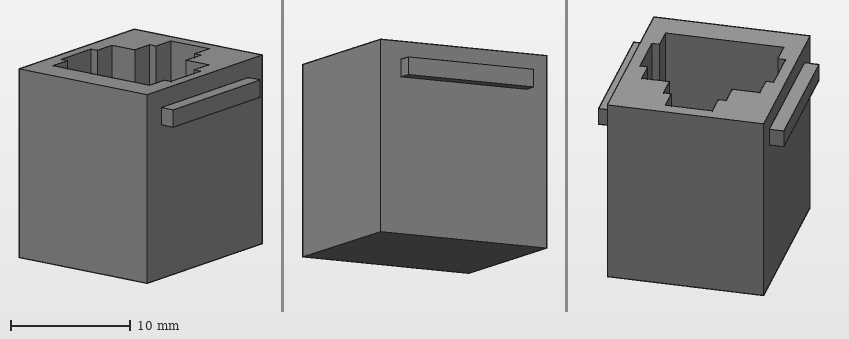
import cadquery as cq

body_width = 13.5
body_depth = 15.88
body_height = 16.38

overall_width = 16.0
rail_length = 12.0
rail_thickness = 1.5
rail_top_gap = 1.54

front_wall = 2.5
floor_thickness = front_wall
step_depth = 2.04
main_width = 10.2
shoulder_width = 11.54
latch_width = 5.42
latch_tip_width = 4.06


def make_body():
    return cq.Workplane("XY").box(body_width, body_depth, body_height, centered=(True, True, False))


def make_rails():
    """One bar through the body whose two ends stand out as the side rails."""
    rail_bottom = body_height - rail_top_gap - rail_thickness
    return (
        cq.Workplane("XY")
        .workplane(offset=rail_bottom)
        .box(overall_width, rail_length, rail_thickness, centered=(True, True, False))
    )


def make_cavity_section(width, first_step, last_step):
    """Centred block spanning whole steps along Y, from the floor up to the top face."""
    cavity_front = front_wall - body_depth / 2
    section_length = (last_step - first_step) * step_depth
    section_height = body_height - floor_thickness
    return (
        cq.Workplane("XY")
        .box(width, section_length, section_height, centered=(True, False, False))
        .translate((0, cavity_front + first_step * step_depth, floor_thickness))
    )


def make_cavity():
    """Stepped plug opening with a narrowing latch slot at the back."""
    main = make_cavity_section(main_width, 0, 4)
    shoulders = make_cavity_section(shoulder_width, 1, 3)
    latch = make_cavity_section(latch_width, 0, 5)
    latch_tip = make_cavity_section(latch_tip_width, 0, 6)
    return main.union(shoulders).union(latch).union(latch_tip)


result = make_body().union(make_rails()).cut(make_cavity())